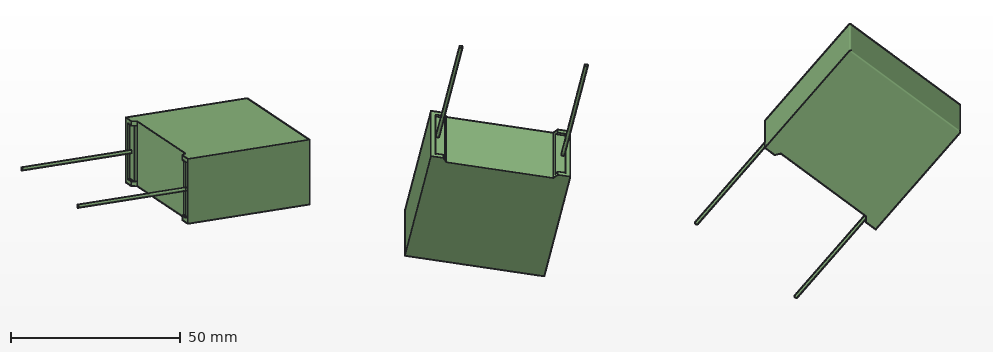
import cadquery as cq

CASE_WIDTH = 41.8
CASE_LENGTH = 40.1
CASE_HEIGHT = 20.2
WALL = 1.4
BACK_FILLET = 0.45

FOOT_WIDTH = 3.75
STEP_DEPTH = 1.5
STEP_SLOPE = 1.1

WINDOW_WIDTH = 2.9
CORE_SETBACK = 0.75
PLATE_THICKNESS = 1.5

LEAD_DIAMETER = 1.05
LEAD_SPACING = 37.55
TOTAL_LENGTH = 75.1
LEAD_REACH = TOTAL_LENGTH - CASE_LENGTH

CAVITY_WIDTH = CASE_WIDTH - 2 * WALL
CAVITY_HEIGHT = CASE_HEIGHT - 2 * WALL
CAVITY_BACK = CASE_LENGTH - WALL
PLATE_WIDTH = CAVITY_WIDTH - 2 * WINDOW_WIDTH
PLATE_BACK = STEP_DEPTH + PLATE_THICKNESS


def block(width, front, back, height):
    """Block centred on X and Z, running from Y = front to Y = back."""
    return cq.Workplane("XY").box(width, back - front, height).translate((0, (front + back) / 2, 0))


def make_step():
    """Prism that lowers the lead end between the feet, with sloping sides."""
    outer = CASE_WIDTH / 2 - FOOT_WIDTH
    inner = outer - STEP_SLOPE
    return (
        cq.Workplane("XY")
        .polyline([(-outer, 0), (-inner, STEP_DEPTH), (inner, STEP_DEPTH), (outer, 0)])
        .close()
        .extrude(CASE_HEIGHT / 2, both=True)
    )


def make_core():
    """Core filling the cavity, notched across the middle for the front plate."""
    core = block(CAVITY_WIDTH, CORE_SETBACK, CAVITY_BACK, CAVITY_HEIGHT)
    return core.cut(block(PLATE_WIDTH, 0, PLATE_BACK, CAVITY_HEIGHT))


def make_case():
    """Case with its back edges rounded, a stepped lead end and a window at each foot."""
    case = block(CASE_WIDTH, 0, CASE_LENGTH, CASE_HEIGHT)
    case = case.faces(">Y").edges().fillet(BACK_FILLET)
    case = case.cut(make_step())
    cavity = block(CAVITY_WIDTH, 0, CAVITY_BACK, CAVITY_HEIGHT)
    plate = block(PLATE_WIDTH, 0, PLATE_BACK, CAVITY_HEIGHT)
    return case.cut(cavity.cut(plate))


def make_lead(x):
    """Straight round lead running from the core toward -Y."""
    return (
        cq.Workplane("XZ", origin=(x, CORE_SETBACK, 0))
        .circle(LEAD_DIAMETER / 2)
        .extrude(LEAD_REACH + CORE_SETBACK)
    )


case = make_case()
core = make_core()
leads = [make_lead(side * LEAD_SPACING / 2) for side in (-1, 1)]

result = cq.Compound.makeCompound([case.val(), core.val(), *[lead.val() for lead in leads]])